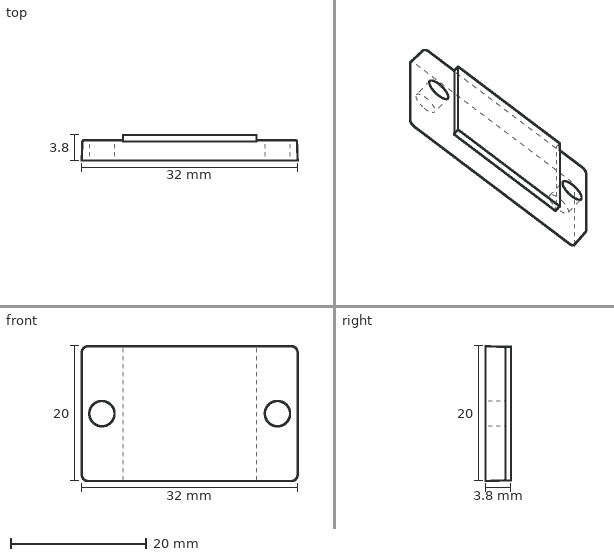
import cadquery as cq

plate_length = 32.0
plate_height = 20.0
plate_thickness = 3.0
draft_angle = 2.0
corner_radius = 1.0
back_edge_radius = 0.3

pad_side = 19.8
pad_projection = 0.8
pad_embed = 0.2

hole_diameter = 3.7
hole_spacing = 26.0


def front_plane(depth=0.0):
    """Plane parallel to the front face whose normal points to +Y."""
    return cq.Workplane(cq.Plane(origin=(0, depth, 0), xDir=(1, 0, 0), normal=(0, 1, 0)))


def make_plate():
    """Drafted block, narrower at the back, with rounded corners and back edge."""
    block = front_plane().rect(plate_length, plate_height).extrude(plate_thickness, taper=draft_angle)
    corners_rounded = block.edges("not(#Y)").fillet(corner_radius)
    return corners_rounded.faces(">Y").edges().fillet(back_edge_radius)


def make_pad():
    """Square pad, sunk slightly into the back of the plate."""
    pad_start = plate_thickness - pad_embed
    return front_plane(pad_start).rect(pad_side, pad_side).extrude(pad_embed + pad_projection)


def make_holes():
    """Pair of cylinders that cut right through the plate."""
    hole_centres = [(-hole_spacing / 2, 0), (hole_spacing / 2, 0)]
    return front_plane().pushPoints(hole_centres).circle(hole_diameter / 2).extrude(plate_thickness)


result = make_plate().union(make_pad()).cut(make_holes())